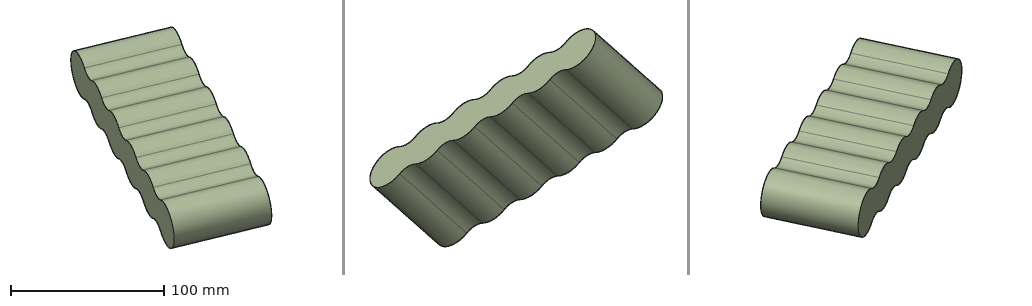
import cadquery as cq
import math

length = 192.5
depth = 68.0
height = 32.5

lobe_count = 6
valley_radius = 12.0
lobe_radius = height / 2
end_lobe_x = (length - height) / 2
pitch = 2 * end_lobe_x / (lobe_count - 1)

center_distance = lobe_radius + valley_radius
valley_center_z = math.sqrt(center_distance**2 - (pitch / 2) ** 2)
valley_floor_z = valley_center_z - valley_radius
tangent_x = lobe_radius * (pitch / 2) / center_distance
tangent_z = lobe_radius * valley_center_z / center_distance


def add_wavy_side(outline, side):
    """Add one long side and the end lobe after it.

    Side +1 is the top, running toward +X; side -1 is the bottom, running toward -X.
    """
    for index in range(lobe_count - 1):
        lobe_x = -end_lobe_x + index * pitch
        next_lobe_x = lobe_x + pitch
        if index > 0:
            outline = outline.threePointArc(
                (side * lobe_x, side * lobe_radius),
                (side * (lobe_x + tangent_x), side * tangent_z),
            )
        outline = outline.threePointArc(
            (side * (lobe_x + pitch / 2), side * valley_floor_z),
            (side * (next_lobe_x - tangent_x), side * tangent_z),
        )
    return outline.threePointArc(
        (side * length / 2, 0),
        (side * (end_lobe_x - tangent_x), -side * tangent_z),
    )


profile = cq.Workplane("XZ", origin=(0, depth / 2, 0)).moveTo(-end_lobe_x + tangent_x, tangent_z)
profile = add_wavy_side(profile, 1)
profile = add_wavy_side(profile, -1).close()

result = profile.extrude(depth)